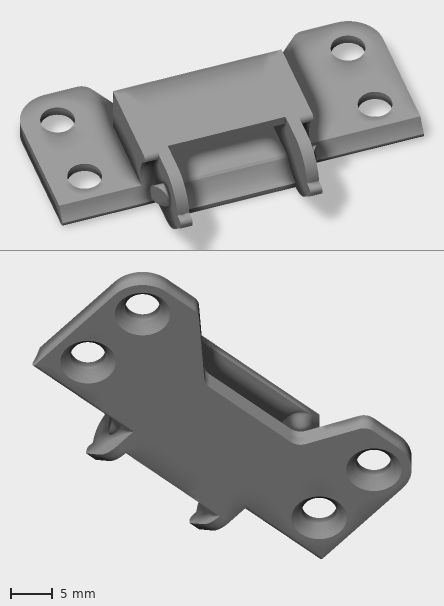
import cadquery as cq
import math

length_y = 46.0
plate_thickness = 2.5
waist_x = 7.8
corner_radius = 4.4
bend_radius = 1.75
upper_flank = (13.5, 5.65)
lower_flank = (-13.45, -9.15)
hole_diameter = 4.2
sink_depth = 1.25
hole_x = (4.5, 14.5)
hole_y = 18.5

height = 8.5
front_x = 19.5
axis_x = 22.2
axis_z = height / 2
center_y = -1.8
housing_rear_x = 7.65
housing_width = 21.5
roof_thickness = 1.15
roof_front_x = 18.5
wall_round = 2.02
clearance_radius = 4.4
groove_radius = 3.55
groove_chamfer = 0.25
front_round = 0.6

ear_inner = 7.5
ear_thickness = 1.5
ear_radius = height / 2
nose_x = 27.7
nose_z = 4.7
nose_round = 0.5
ledge_round = 0.15
pin_diameter = 2.85
pin_length = 1.45
pin_flat = 0.5

ear_root_x = roof_front_x - ear_thickness
ear_outer = ear_inner + ear_thickness
housing_half = housing_width / 2


def box(x_range, y_range, z_range):
    """Box spanning the given ranges."""
    size = [high - low for low, high in (x_range, y_range, z_range)]
    corner = (x_range[0], y_range[0], z_range[0])
    return cq.Workplane("XY").box(*size, centered=False).translate(corner)


def y_plane(y):
    """XZ sketch plane at y whose extrusions run toward -Y."""
    return cq.Workplane("XZ", origin=(0, y, 0))


def axis_cylinder(radius, low_y, high_y):
    """Cylinder around the pivot axis."""
    return y_plane(high_y).center(axis_x, axis_z).circle(radius).extrude(high_y - low_y)


def make_plate():
    half = length_y / 2
    outline = [
        (0, half), (front_x, half), (front_x, -half), (0, -half),
        (0, lower_flank[0]), (waist_x, lower_flank[1]),
        (waist_x, upper_flank[1]), (0, upper_flank[0]),
    ]
    plate = cq.Workplane("XY").polyline(outline).close().extrude(plate_thickness)
    for y in (half, -half):
        plate = plate.edges(cq.selectors.NearestToPointSelector((0, y, plate_thickness / 2)))
        plate = plate.fillet(corner_radius)
    flank_ends = [end for flank in (upper_flank, lower_flank) for end in zip((0, waist_x), flank)]
    for x, y in flank_ends:
        plate = plate.edges(cq.selectors.NearestToPointSelector((x, y, plate_thickness / 2)))
        plate = plate.fillet(bend_radius)
    holes = [(x, side * hole_y) for x in hole_x for side in (1, -1)]
    cutter = cq.Workplane("XY").pushPoints(holes).circle(hole_diameter / 2).extrude(plate_thickness)
    sink_radius = hole_diameter / 2 + sink_depth
    sink = cq.Workplane("XY").pushPoints(holes).circle(sink_radius).extrude(sink_depth, taper=45)
    return plate.cut(cutter).cut(sink)


def make_housing():
    """Bridge with two thick walls, rounded at their inner rear corners."""
    y_range = (center_y - housing_half, center_y + housing_half)
    housing = box((housing_rear_x, front_x), y_range, (height - roof_thickness, height))
    for side in (1, -1):
        ends = sorted((center_y + side * ear_inner, center_y + side * housing_half))
        wall = box((housing_rear_x, front_x), ends, (0, height))
        inner_corner = (housing_rear_x, center_y + side * ear_inner, axis_z)
        wall = wall.edges(cq.selectors.NearestToPointSelector(inner_corner)).fillet(wall_round)
        housing = housing.union(wall.intersect(box((0, front_x), y_range, (plate_thickness, height))))
    return housing


def cut_outer_recess(body, side):
    """Cylindrical recess beyond an ear, with softened front lips."""
    ends = sorted((center_y + side * ear_outer, side * length_y))
    recess = axis_cylinder(clearance_radius, *ends)
    body = body.cut(recess)
    lip_corners = (
        y_plane(ends[1])
        .pushPoints([(front_x - front_round / 2, z) for z in (front_round / 2, height - front_round / 2)])
        .rect(front_round, front_round)
        .extrude(ends[1] - ends[0])
    )
    lip_rounds = (
        y_plane(ends[1])
        .pushPoints([(front_x - front_round, z) for z in (front_round, height - front_round)])
        .circle(front_round)
        .extrude(ends[1] - ends[0])
    )
    return body.cut(lip_corners.cut(lip_rounds))


def make_groove_floor():
    """Plate extension between the ears, hollowed around the pivot axis."""
    y_range = (center_y - ear_inner, center_y + ear_inner)
    floor = box((roof_front_x, axis_x), y_range, (0, plate_thickness))
    floor = floor.cut(axis_cylinder(groove_radius, *y_range))
    lip_x = axis_x - math.sqrt(groove_radius**2 - (axis_z - plate_thickness) ** 2)
    lip = (lip_x, center_y, plate_thickness)
    return floor.edges(cq.selectors.NearestToPointSelector(lip)).chamfer(groove_chamfer)


def make_ear(side):
    """Ear whose 45 degree underside runs tangent to its round end."""
    diagonal = ear_radius * math.sqrt(0.5)
    tangent = (axis_x + diagonal, axis_z - diagonal)
    nose_bottom = tangent[1] + nose_x - tangent[0]
    ledge_x = axis_x + math.sqrt(ear_radius**2 - (nose_z - axis_z) ** 2)
    upper_mid = (axis_x + diagonal, axis_z + diagonal)
    eighth = math.radians(-67.5)
    lower_mid = (axis_x + ear_radius * math.cos(eighth), axis_z + ear_radius * math.sin(eighth))
    ends = sorted((center_y + side * ear_inner, center_y + side * ear_outer))
    ear = (
        y_plane(ends[1])
        .moveTo(ear_root_x, 0)
        .lineTo(axis_x, 0)
        .threePointArc(lower_mid, tangent)
        .lineTo(nose_x, nose_bottom)
        .lineTo(nose_x, nose_z)
        .lineTo(ledge_x, nose_z)
        .threePointArc(upper_mid, (axis_x, height))
        .lineTo(ear_root_x, height)
        .close()
        .extrude(ear_thickness)
    )
    nose_tip = (nose_x, sum(ends) / 2, nose_z)
    ear = ear.edges(cq.selectors.NearestToPointSelector(nose_tip)).fillet(nose_round)
    ledge_root = (ledge_x, sum(ends) / 2, nose_z)
    return ear.edges(cq.selectors.NearestToPointSelector(ledge_root)).fillet(ledge_round)


def make_pin(side):
    """Pin on an ear's outer face, sloping down to the face toward +X."""
    face_y = center_y + side * ear_outer
    tip_y = face_y + side * pin_length
    rear_x = axis_x - pin_diameter / 2
    slope = [(rear_x, face_y), (rear_x, tip_y), (rear_x + pin_flat, tip_y), (rear_x + pin_diameter, face_y)]
    wedge = cq.Workplane("XY").polyline(slope).close().extrude(height)
    return wedge.intersect(axis_cylinder(pin_diameter / 2, *sorted((face_y, tip_y))))


body = make_plate().union(make_housing())
for side in (1, -1):
    body = cut_outer_recess(body, side)

gap = (center_y - ear_inner, center_y + ear_inner)
body = body.cut(box((roof_front_x, nose_x), gap, (0, height)))
body = body.union(make_groove_floor())

for side in (1, -1):
    body = body.union(make_ear(side)).union(make_pin(side))

result = body